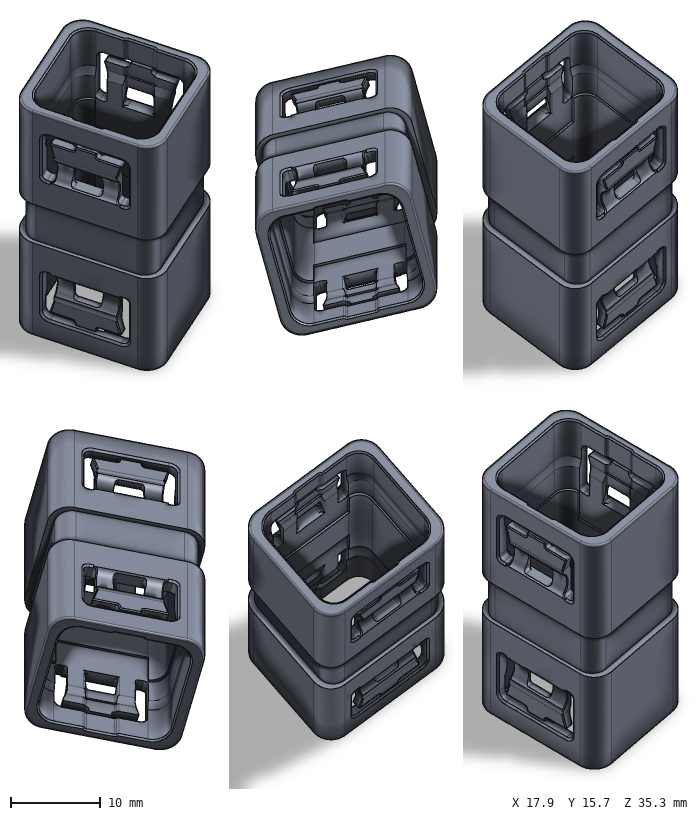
import cadquery as cq

LENGTH_X = 17.9
WIDTH_Y = 15.7
HEIGHT_Z = 35.3
HALF_Z = HEIGHT_Z / 2
COLLAR_RADIUS = 2.5
COLLAR_EDGE_FILLET = 0.25
NECK_HEIGHT = 6.1
NECK_X = 16.4
NECK_Y = 14.8
NECK_RADIUS = 2.0

BORE_X = 14.15
BORE_Y = 12.05
BORE_RADIUS = 1.9
SEAT_X = 14.6
SEAT_Y = 12.6
SEAT_RADIUS = 2.0
SEAT_FLAT_X = 10.6
MOUTH_X = 15.1
MOUTH_Y = 13.35
MOUTH_RADIUS = 2.15
MOUTH_EDGE_CHAMFER = 0.2
SHOULDER_TOP_Z = 11.95
SHOULDER_BOTTOM_Z = 10.75

KEYWAY_FLOOR_X = 3.2
KEYWAY_FLANK_X = 0.45
KEYWAY_DEPTH = 0.2

WINDOW_X = 10.7
WINDOW_BOTTOM_Z = 7.25
WINDOW_TOP_Z = 14.52
WINDOW_TOP_RADIUS = 1.0
WINDOW_BOTTOM_RADIUS = 0.6
WINDOW_EDGE_CHAMFER = 0.25

LATCH_X = 7.75
TOOTH_X = 8.8
TAB_X = 2.6
LATCH_ROOT_RADIUS = 0.4
SCOOP_TOP_Z = 10.6
SCOOP_DEPTH = 0.95
SCOOP_EDGE_CHAMFER = 0.12
TOOTH_RECESS = 0.1
TOOTH_FACE_BOTTOM_Z = 11.3
TOOTH_TOP_Z = 13.3
TAB_TOP_Z = 14.05
LIP_RECESS = 0.22
LIP_TOP_Z = 10.85
TOOTH_EDGE_CHAMFER = 0.14
TAB_ROOT_FILLET = 0.4
TOOTH_CORNER_FILLET = 0.15

HOLE_TOP_X = 3.3
HOLE_BOTTOM_X = 3.9
HOLE_TOP_Z = 10.4
HOLE_BOTTOM_Z = 7.4
HOLE_RADIUS = 0.4

OUTER_Y = -WIDTH_Y / 2
INNER_Y = -BORE_Y / 2
LATCH_FOOT_Z = WINDOW_BOTTOM_Z - WINDOW_EDGE_CHAMFER
SEAT_WALL_Y = -SEAT_Y / 2
MOUTH_WALL_Y = -MOUTH_Y / 2


def rounded_block(size_x, size_y, radius, bottom_z, top_z):
    block = cq.Workplane("XY").workplane(offset=bottom_z).rect(size_x, size_y).extrude(top_z - bottom_z)
    return block.edges("|Z").fillet(radius)


def rounded_sketch(size_x, size_y, radius):
    return cq.Sketch().rect(size_x, size_y).vertices().fillet(radius)


def through_wall(outline):
    """Extrude an XZ outline through the whole -Y wall."""
    wall_depth = INNER_Y - OUTER_Y
    return cq.Workplane("XZ", origin=(0, INNER_Y, 0)).polyline(outline).close().extrude(wall_depth)


def make_collar():
    collar = rounded_block(LENGTH_X, WIDTH_Y, COLLAR_RADIUS, NECK_HEIGHT / 2, HALF_Z)
    return collar.faces(">Z").edges().fillet(COLLAR_EDGE_FILLET)


def make_passage():
    """Everything removed from inside one collar."""
    bore = rounded_block(BORE_X, BORE_Y, BORE_RADIUS, 0, HALF_Z)
    seat = rounded_block(SEAT_X, SEAT_Y, SEAT_RADIUS, WINDOW_BOTTOM_Z, HALF_Z)
    shoulder_height = SHOULDER_TOP_Z - SHOULDER_BOTTOM_Z
    shoulder = (
        cq.Workplane("XY", origin=(0, 0, SHOULDER_BOTTOM_Z))
        .placeSketch(
            rounded_sketch(SEAT_X, SEAT_Y, SEAT_RADIUS),
            rounded_sketch(MOUTH_X, MOUTH_Y, MOUTH_RADIUS).moved(cq.Location((0, 0, shoulder_height))),
        )
        .loft()
    )
    mouth = rounded_block(MOUTH_X, MOUTH_Y, MOUTH_RADIUS, SHOULDER_TOP_Z, HALF_Z)
    flats = cq.Workplane("XY", origin=(0, 0, NECK_HEIGHT / 2)).rect(SEAT_FLAT_X, SEAT_Y)
    flats = flats.extrude(WINDOW_BOTTOM_Z - NECK_HEIGHT / 2)
    return bore.union(seat).union(flats).union(shoulder).union(mouth).union(flare_at_rim(mouth))


def flare_at_rim(passage):
    """Widened copy of a vertical passage's top, sloping out at 45 degrees up to the rim."""
    section = passage.faces(">Z").wires().val().translate(cq.Vector(0, 0, -MOUTH_EDGE_CHAMFER))
    return cq.Workplane(cq.Solid.extrudeLinear(section, [], cq.Vector(0, 0, MOUTH_EDGE_CHAMFER), -45))


def make_keyway(opening_y, depth, bottom_z):
    """Vertical groove in the -Y wall; each flank is an S of two arcs tangent to floor and wall."""
    floor_x = KEYWAY_FLOOR_X / 2
    flank_x = floor_x + KEYWAY_FLANK_X / 2
    open_x = floor_x + KEYWAY_FLANK_X
    floor_y = opening_y - depth
    flank_y = opening_y - depth / 2
    flank_radius = (KEYWAY_FLANK_X**2 + depth**2) / (4 * depth)
    return (
        cq.Workplane("XY", origin=(0, 0, bottom_z))
        .moveTo(-floor_x, floor_y)
        .lineTo(floor_x, floor_y)
        .radiusArc((flank_x, flank_y), -flank_radius)
        .radiusArc((open_x, opening_y), flank_radius)
        .lineTo(open_x, INNER_Y)
        .lineTo(-open_x, INNER_Y)
        .lineTo(-open_x, opening_y)
        .radiusArc((-flank_x, flank_y), flank_radius)
        .radiusArc((-floor_x, floor_y), -flank_radius)
        .close()
        .extrude(HALF_Z - bottom_z)
    )


def make_window():
    window = through_wall(
        [
            (-WINDOW_X / 2, WINDOW_BOTTOM_Z),
            (WINDOW_X / 2, WINDOW_BOTTOM_Z),
            (WINDOW_X / 2, WINDOW_TOP_Z),
            (-WINDOW_X / 2, WINDOW_TOP_Z),
        ]
    )
    window = window.edges("|Y and >Z").fillet(WINDOW_TOP_RADIUS)
    window = window.edges("|Y and <Z").fillet(WINDOW_BOTTOM_RADIUS)
    rim = window.faces("<Y").wires().val().translate(cq.Vector(0, WINDOW_EDGE_CHAMFER, 0))
    flare = cq.Solid.extrudeLinear(rim, [], cq.Vector(0, -WINDOW_EDGE_CHAMFER, 0), -45)
    return window.union(cq.Workplane(flare))


def make_latch():
    tooth_y = OUTER_Y + TOOTH_RECESS
    scoop_mid = (OUTER_Y + SCOOP_DEPTH, (SCOOP_TOP_Z + WINDOW_BOTTOM_Z) / 2)
    side = (
        cq.Workplane("YZ")
        .moveTo(SEAT_WALL_Y, LATCH_FOOT_Z)
        .lineTo(OUTER_Y, LATCH_FOOT_Z)
        .lineTo(OUTER_Y, WINDOW_BOTTOM_Z)
        .threePointArc(scoop_mid, (OUTER_Y + LIP_RECESS, SCOOP_TOP_Z))
        .lineTo(OUTER_Y + LIP_RECESS, LIP_TOP_Z)
        .lineTo(tooth_y, TOOTH_FACE_BOTTOM_Z)
        .lineTo(tooth_y, TAB_TOP_Z)
        .lineTo(MOUTH_WALL_Y, TAB_TOP_Z)
        .lineTo(MOUTH_WALL_Y, SHOULDER_TOP_Z)
        .lineTo(SEAT_WALL_Y, SHOULDER_BOTTOM_Z)
        .close()
        .extrude(TOOTH_X / 2, both=True)
    )
    latch = side.intersect(make_latch_outline())
    tooth_front = cq.selectors.BoxSelector(
        (-TOOTH_X, OUTER_Y, TOOTH_FACE_BOTTOM_Z + TOOTH_EDGE_CHAMFER),
        (TOOTH_X, tooth_y + TOOTH_EDGE_CHAMFER, HALF_Z),
    )
    latch = latch.edges(tooth_front).chamfer(TOOTH_EDGE_CHAMFER)
    scoop_sides = cq.selectors.BoxSelector(
        (-TOOTH_X, OUTER_Y, WINDOW_BOTTOM_Z + LATCH_ROOT_RADIUS),
        (TOOTH_X, OUTER_Y + SCOOP_DEPTH, SCOOP_TOP_Z - SCOOP_EDGE_CHAMFER),
    )
    latch = latch.edges(scoop_sides).chamfer(SCOOP_EDGE_CHAMFER)
    latch = latch.cut(make_keyway(MOUTH_WALL_Y, KEYWAY_DEPTH, SHOULDER_TOP_Z))
    latch = latch.cut(make_keyway(SEAT_WALL_Y, SEAT_WALL_Y - MOUTH_WALL_Y, HOLE_BOTTOM_Z))
    return latch.cut(make_hole())


def make_latch_outline():
    """Latch seen square to the wall: rounded roots, flared tooth, tab on top."""
    foot_x = LATCH_X / 2
    right_edge = [
        (foot_x, LATCH_FOOT_Z),
        (foot_x, TOOTH_FACE_BOTTOM_Z),
        (TOOTH_X / 2, TOOTH_TOP_Z),
        (TAB_X / 2, TOOTH_TOP_Z),
        (TAB_X / 2, TAB_TOP_Z),
    ]
    left_edge = [(-x, z) for x, z in reversed(right_edge)]
    outline = through_wall(right_edge + left_edge)
    outline = outline.edges("|Y and (>Z or <X or >X)").fillet(TOOTH_CORNER_FILLET)
    tab_roots = cq.selectors.BoxSelector(
        (-TAB_X, OUTER_Y, TOOTH_TOP_Z - TAB_ROOT_FILLET),
        (TAB_X, INNER_Y, TOOTH_TOP_Z + TAB_ROOT_FILLET),
    )
    outline = outline.edges("|Y").edges(tab_roots).fillet(TAB_ROOT_FILLET)
    root = make_latch_root()
    return outline.union(root).union(root.mirror("YZ"))


def make_latch_root():
    """Concave corner joining the right side of the latch to the bottom of the window."""
    inner_x = LATCH_X / 2
    outer_x = inner_x + LATCH_ROOT_RADIUS
    return (
        cq.Workplane("XZ", origin=(0, INNER_Y, 0))
        .moveTo(inner_x, LATCH_FOOT_Z)
        .lineTo(outer_x, LATCH_FOOT_Z)
        .lineTo(outer_x, WINDOW_BOTTOM_Z)
        .radiusArc((inner_x, WINDOW_BOTTOM_Z + LATCH_ROOT_RADIUS), LATCH_ROOT_RADIUS)
        .close()
        .extrude(INNER_Y - OUTER_Y)
    )


def make_hole():
    hole = through_wall(
        [
            (-HOLE_BOTTOM_X / 2, HOLE_BOTTOM_Z),
            (HOLE_BOTTOM_X / 2, HOLE_BOTTOM_Z),
            (HOLE_TOP_X / 2, HOLE_TOP_Z),
            (-HOLE_TOP_X / 2, HOLE_TOP_Z),
        ]
    )
    return hole.edges("|Y").fillet(HOLE_RADIUS)


def make_end():
    """Upper collar with its mouth, keyways, windows and latches."""
    keyway = make_keyway(MOUTH_WALL_Y, KEYWAY_DEPTH, SHOULDER_TOP_Z)
    keyway = keyway.union(flare_at_rim(keyway))
    window = make_window()
    latch = make_latch()
    end = make_collar().cut(make_passage())
    end = end.cut(keyway).cut(keyway.mirror("XZ"))
    end = end.cut(window).cut(window.mirror("XZ"))
    return end.union(latch).union(latch.mirror("XZ"))


def make_neck():
    half_height = NECK_HEIGHT / 2
    neck = rounded_block(NECK_X, NECK_Y, NECK_RADIUS, -half_height, half_height)
    return neck.cut(rounded_block(BORE_X, BORE_Y, BORE_RADIUS, -half_height, half_height))


upper_end = make_end()
result = make_neck().union(upper_end).union(upper_end.mirror("XY"))